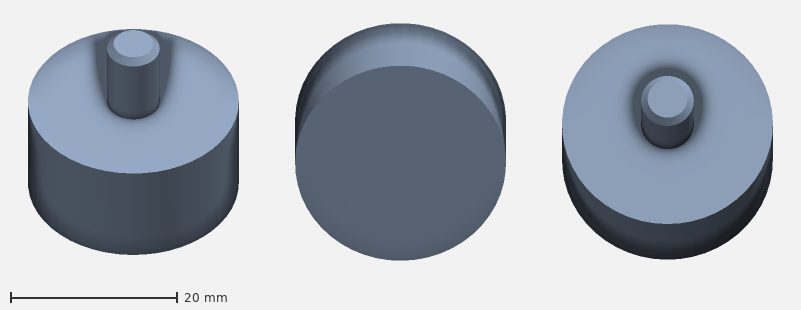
import cadquery as cq

body_diameter = 25.4
total_height = 22.99
body_height = 13.45
stud_diameter = 6.35
stud_chamfer = 0.8

stud_length = total_height - body_height

body = cq.Workplane("XY").circle(body_diameter / 2).extrude(body_height)

stud = (
    cq.Workplane("XY")
    .workplane(offset=body_height)
    .circle(stud_diameter / 2)
    .extrude(stud_length)
    .faces(">Z")
    .chamfer(stud_chamfer)
)

result = body.union(stud)